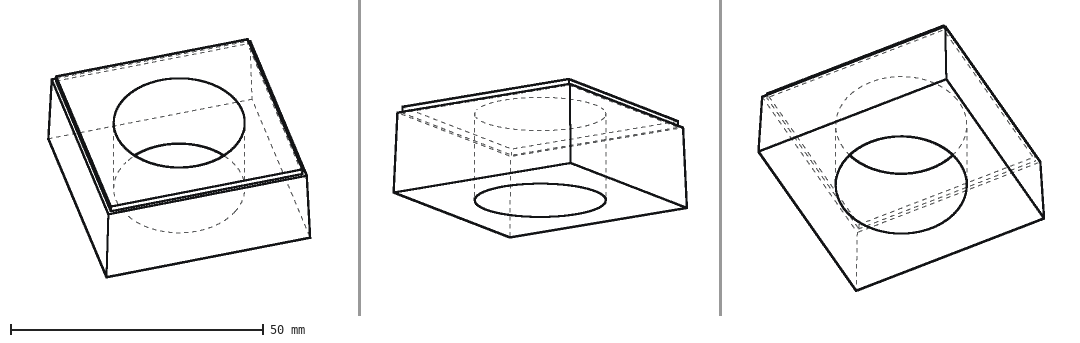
import cadquery as cq

base_side = 42.0
total_height = 17.7

shoulder_side = 40.9
plate_side = 39.5
plate_height = 1.25
body_height = total_height - plate_height

bore_diameter = 26.0

body = (
    cq.Workplane("XY")
    .rect(base_side, base_side)
    .workplane(offset=body_height)
    .rect(shoulder_side, shoulder_side)
    .loft(combine=True, ruled=True)
)

plate = (
    cq.Workplane("XY")
    .workplane(offset=body_height)
    .rect(plate_side, plate_side)
    .extrude(plate_height)
)

bore = cq.Workplane("XY").circle(bore_diameter / 2).extrude(total_height)

result = body.union(plate).cut(bore)